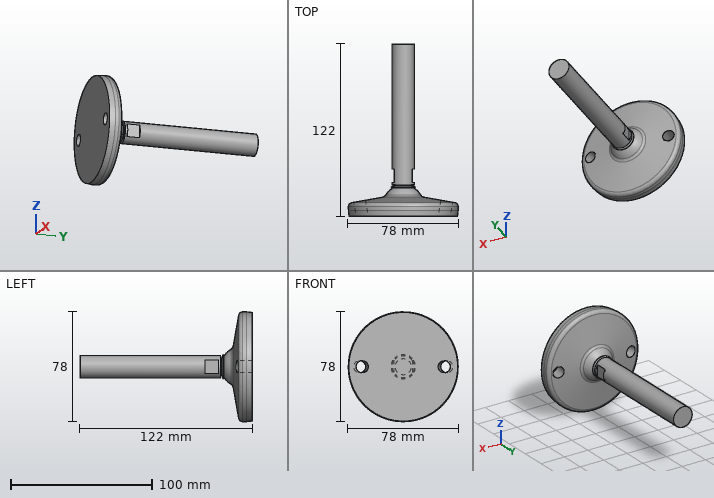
import cadquery as cq
import math


foot_radius = 38.99
foot_bottom_radius = 38.5
rim_height = 4.2
slope_angle = math.radians(10)
slope_edge_height = 9.37
rim_fillet = 3.0

dome_radius = 14.4
dome_center = 7.9
dome_top = 20.0
dome_fillet = 2.8

hole_diameter = 8.5
hole_offset = 29.0
hole_margin = 10.0

shaft_radius = 8.0
shaft_bottom = 22.4
overall_height = 122.0
neck_radius = 5.7
neck_height = 22.0
collar_radius = 8.6
collar_height = 20.75
collar_bottom_radius = 7.8

flats_width = 13.0
flats_bottom = 24.1
flats_top = 33.5


def cone_height(radius):
    """Height of the conical top face at a distance from the axis."""
    return slope_edge_height + (foot_radius - radius) * math.tan(slope_angle)


def dome_cone_crossing():
    """Radius and height of the circle where the dome meets the conical top face."""
    slope = math.tan(slope_angle)
    rise = cone_height(0) - dome_center
    a = 1 + slope ** 2
    b = -2 * rise * slope
    c = rise ** 2 - dome_radius ** 2
    radius = (-b + math.sqrt(b ** 2 - 4 * a * c)) / (2 * a)
    return radius, cone_height(radius)


def dome_point(height):
    """Profile point on the dome at a given height."""
    return math.sqrt(dome_radius ** 2 - (height - dome_center) ** 2), height


def make_foot():
    crossing = dome_cone_crossing()
    dome_edge = dome_point(dome_top)
    dome_middle = dome_point((crossing[1] + dome_top) / 2)
    foot = (
        cq.Workplane("XY")
        .lineTo(foot_bottom_radius, 0)
        .lineTo(foot_radius, rim_height)
        .lineTo(foot_radius, slope_edge_height)
        .lineTo(*crossing)
        .threePointArc(dome_middle, dome_edge)
        .lineTo(0, dome_top)
        .close()
        .revolve(360, (0, 0, 0), (0, 1, 0))
    )
    foot = fillet_circle(foot, slope_edge_height, rim_fillet)
    foot = fillet_circle(foot, crossing[1], dome_fillet)
    for side in (-1, 1):
        foot = foot.cut(make_hole_cutter(side))
    return foot


def fillet_circle(body, height, radius):
    """Round the circular edge lying at the given height."""
    tolerance = 0.01
    reach = 2 * foot_radius
    band = cq.selectors.BoxSelector(
        (-reach, height - tolerance, -reach), (reach, height + tolerance, reach)
    )
    return body.edges("%CIRCLE").edges(band).fillet(radius)


def make_hole_cutter(side):
    """Slanted cylinder that leans away from the axis as it rises."""
    direction = cq.Vector(side * math.sin(slope_angle), math.cos(slope_angle), 0)
    start = cq.Vector(side * hole_offset, 0, 0) - direction * hole_margin
    length = slope_edge_height + 2 * hole_margin
    return cq.Solid.makeCylinder(hole_diameter / 2, length, start, direction)


def make_spindle():
    spindle = (
        cq.Workplane("XY")
        .moveTo(0, dome_top)
        .lineTo(collar_bottom_radius, dome_top)
        .lineTo(collar_radius, collar_height)
        .lineTo(neck_radius, neck_height)
        .lineTo(neck_radius, shaft_bottom)
        .lineTo(shaft_radius, shaft_bottom)
        .lineTo(shaft_radius, overall_height)
        .lineTo(0, overall_height)
        .close()
        .revolve(360, (0, 0, 0), (0, 1, 0))
    )
    flat_length = flats_top - flats_bottom
    flat_middle = (flats_top + flats_bottom) / 2
    for side in (-1, 1):
        cutter = cq.Workplane("XY").box(shaft_radius, flat_length, 2 * shaft_radius)
        cutter_x = side * (flats_width + shaft_radius) / 2
        spindle = spindle.cut(cutter.translate((cutter_x, flat_middle, 0)))
    return spindle


foot = make_foot()
spindle = make_spindle()

result = cq.Compound.makeCompound([foot.val(), spindle.val()])